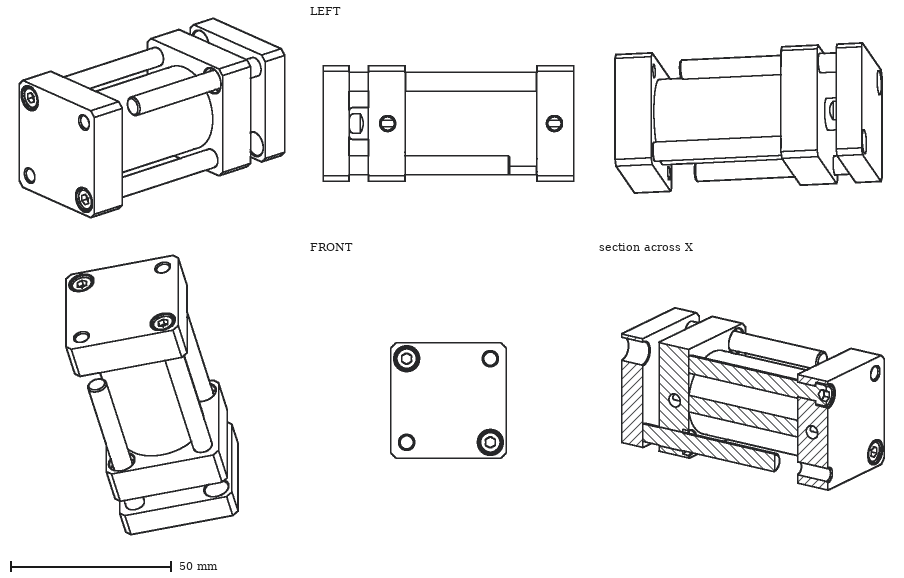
import cadquery as cq
import math

SIDE = 36.0
CORNER_CHAMFER = 1.7
CAP_LENGTH = 11.5
BARREL_LENGTH = 41.0
STROKE_GAP = 6.0
PLATE_LENGTH = 8.0

BARREL_START = CAP_LENGTH
FRONT_CAP_START = BARREL_START + BARREL_LENGTH
FRONT_CAP_END = FRONT_CAP_START + CAP_LENGTH
PLATE_START = FRONT_CAP_END + STROKE_GAP
PLATE_END = PLATE_START + PLATE_LENGTH

ROD_SPACING = 26.05
ROD_OFFSET = ROD_SPACING / 2
GUIDE_PLACES = [(-ROD_OFFSET, -ROD_OFFSET), (ROD_OFFSET, ROD_OFFSET)]
TIE_PLACES = [(-ROD_OFFSET, ROD_OFFSET), (ROD_OFFSET, -ROD_OFFSET)]

BARREL_DIAMETER = 26.7
ROD_DIAMETER = 6.0

GUIDE_START = 20.0
GUIDE_CHAMFER = 0.5
GUIDE_SEAL_DIAMETER = 8.0
GUIDE_SEAL_MOUTH_DIAMETER = 8.5
GUIDE_SEAL_DEPTH = 2.35

TIE_CHAMFER = 0.2
TIE_SHANK_DIAMETER = 4.7
HEAD_DIAMETER = 7
HEAD_LENGTH = 4.0
HEAD_CHAMFER = 0.5
HEAD_RECESS = 0.5
HEAD_POCKET_DIAMETER = 7.5
HEAD_POCKET_MOUTH_DIAMETER = 8.0
SOCKET_FLATS = 3.0
SOCKET_DEPTH = 2.0

THREAD_DIAMETER = 4.1
THREAD_MOUTH_DIAMETER = 5.0
PORT_INSET = 6.0
PORT_DEPTH = 10.0
PORT_BAR_DIAMETER = 2.0
PORT_BAR_DEPTH = 8.0
DRILL_TIP_HALF_ANGLE = 59

PISTON_ROD_DIAMETER = 10.0
WRENCH_FLATS = 8.0
FLAT_LENGTH = 3.4
PISTON_ROD_ROUNDING = 1.2

PLATE_CLEARANCE_DIAMETER = 7.5
PLATE_CLEARANCE_MOUTH_DIAMETER = 8.0

FORWARD = (0, 1, 0)
INWARD = (1, 0, 0)


def rod(diameter, start, end, place=(0, 0)):
    """Plain cylinder along Y between two stations."""
    x, z = place
    base = cq.Vector(x, start, z)
    return cq.Workplane(cq.Solid.makeCylinder(diameter / 2, end - start, base, cq.Vector(*FORWARD)))


def cone(diameter, end_diameter, length, start, direction):
    """Cone that runs from diameter to end_diameter along a direction."""
    return cq.Workplane(
        cq.Solid.makeCone(diameter / 2, end_diameter / 2, length, cq.Vector(*start), cq.Vector(*direction))
    )


def mouth(diameter, hole_diameter, start, direction):
    """45 degree countersink at the mouth of a hole."""
    return cone(diameter, hole_diameter, (diameter - hole_diameter) / 2, start, direction)


def drill_tip_length(diameter):
    """Length of the conical bottom of a drilled hole."""
    return diameter / 2 / math.tan(math.radians(DRILL_TIP_HALF_ANGLE))


def square_block(start, length):
    """Square block along Y with chamfered long edges."""
    block = cq.Workplane("XY").box(SIDE, length, SIDE).translate((0, start + length / 2, 0))
    return block.edges("|Y").chamfer(CORNER_CHAMFER)


def port(y):
    """Drilled port from the -X face, crossed by a round bar parallel to Y."""
    face = -SIDE / 2
    bore = cq.Workplane(
        cq.Solid.makeCylinder(THREAD_DIAMETER / 2, PORT_DEPTH, cq.Vector(face, y, 0), cq.Vector(*INWARD))
    )
    tip = cone(THREAD_DIAMETER, 0, drill_tip_length(THREAD_DIAMETER), (face + PORT_DEPTH, y, 0), INWARD)
    countersink = mouth(THREAD_MOUTH_DIAMETER, THREAD_DIAMETER, (face, y, 0), INWARD)
    bar = rod(PORT_BAR_DIAMETER, y - THREAD_DIAMETER, y + THREAD_DIAMETER, (face + PORT_BAR_DEPTH, 0))
    return bore.union(tip).union(countersink).cut(bar)


def make_rear_cap():
    """Rear cap with its port, two mounting holes and two bolt head pockets."""
    cap = square_block(0, CAP_LENGTH).cut(port(PORT_INSET))
    for x, z in GUIDE_PLACES:
        cap = cap.cut(rod(THREAD_DIAMETER, 0, CAP_LENGTH, (x, z)))
        cap = cap.cut(mouth(THREAD_MOUTH_DIAMETER, THREAD_DIAMETER, (x, 0, z), FORWARD))
    for x, z in TIE_PLACES:
        cap = cap.cut(rod(TIE_SHANK_DIAMETER, 0, CAP_LENGTH, (x, z)))
        cap = cap.cut(rod(HEAD_POCKET_DIAMETER, 0, HEAD_RECESS + HEAD_LENGTH, (x, z)))
        cap = cap.cut(mouth(HEAD_POCKET_MOUTH_DIAMETER, HEAD_POCKET_DIAMETER, (x, 0, z), FORWARD))
    return cap


def make_front_cap():
    """Front cap with its port, the piston rod bore and two recessed guide bores."""
    start = FRONT_CAP_START
    cap = square_block(start, CAP_LENGTH).cut(port(FRONT_CAP_END - PORT_INSET))
    cap = cap.cut(rod(PISTON_ROD_DIAMETER, start, FRONT_CAP_END))
    for x, z in GUIDE_PLACES:
        cap = cap.cut(rod(ROD_DIAMETER, start, FRONT_CAP_END, (x, z)))
        cap = cap.cut(rod(GUIDE_SEAL_DIAMETER, start, start + GUIDE_SEAL_DEPTH, (x, z)))
        cap = cap.cut(mouth(GUIDE_SEAL_MOUTH_DIAMETER, GUIDE_SEAL_DIAMETER, (x, start, z), FORWARD))
    return cap


def make_tool_plate():
    """Plate at the rod end with two clearance holes."""
    plate = square_block(PLATE_START, PLATE_LENGTH)
    for x, z in TIE_PLACES:
        plate = plate.cut(rod(PLATE_CLEARANCE_DIAMETER, PLATE_START, PLATE_END, (x, z)))
        plate = plate.cut(
            mouth(PLATE_CLEARANCE_MOUTH_DIAMETER, PLATE_CLEARANCE_DIAMETER, (x, PLATE_START, z), FORWARD)
        )
    return plate


def make_piston_rod():
    """Rod from the front of the barrel to the tool plate, with two wrench flats."""
    body = rod(PISTON_ROD_DIAMETER, FRONT_CAP_START, PLATE_START).faces(">Y").fillet(PISTON_ROD_ROUNDING)
    radius = PISTON_ROD_DIAMETER / 2
    half_flats = WRENCH_FLATS / 2
    flat_start = PLATE_START - FLAT_LENGTH
    run_out = radius - half_flats
    for side in (-1, 1):
        relief = (
            cq.Workplane("XY")
            .moveTo(side * half_flats, PLATE_START)
            .lineTo(side * half_flats, flat_start)
            .lineTo(side * radius, flat_start - run_out)
            .lineTo(side * radius, PLATE_START)
            .close()
            .extrude(radius, both=True)
        )
        body = body.cut(relief)
    return body


def make_guide_rod(place):
    """Rod from the tool plate through the front cap, chamfered at its free end."""
    return rod(ROD_DIAMETER, GUIDE_START, PLATE_START, place).faces("<Y").chamfer(GUIDE_CHAMFER)


def make_tie_bolt(place):
    """Rod between the caps, joined through the rear cap to a socket head."""
    x, z = place
    spacer = rod(ROD_DIAMETER, BARREL_START, FRONT_CAP_START, place).faces("<Y or >Y").chamfer(TIE_CHAMFER)
    shank = rod(TIE_SHANK_DIAMETER, HEAD_RECESS, BARREL_START, place)
    head = rod(HEAD_DIAMETER, HEAD_RECESS, HEAD_RECESS + HEAD_LENGTH, place).faces("<Y").chamfer(HEAD_CHAMFER)
    across_corners = SOCKET_FLATS / math.cos(math.pi / 6)
    tip = cone(across_corners, 0, drill_tip_length(across_corners), (0, 0, SOCKET_DEPTH), (0, 0, 1))
    socket = (
        cq.Workplane("XY")
        .polygon(6, across_corners)
        .extrude(SOCKET_DEPTH)
        .union(tip)
        .rotate((0, 0, 0), (0, 0, 1), 30)
        .rotate((0, 0, 0), (1, 0, 0), -90)
        .translate((x, HEAD_RECESS, z))
    )
    return spacer.union(shank).union(head).cut(socket)


rear_cap = make_rear_cap()
front_cap = make_front_cap()
tool_plate = make_tool_plate()
barrel = rod(BARREL_DIAMETER, BARREL_START, FRONT_CAP_START)
piston_rod = make_piston_rod()
guide_rods = [make_guide_rod(place) for place in GUIDE_PLACES]
tie_bolts = [make_tie_bolt(place) for place in TIE_PLACES]

result = cq.Compound.makeCompound(
    [
        rear_cap.val(),
        front_cap.val(),
        tool_plate.val(),
        barrel.val(),
        piston_rod.val(),
        *[guide_rod.val() for guide_rod in guide_rods],
        *[tie_bolt.val() for tie_bolt in tie_bolts],
    ]
)